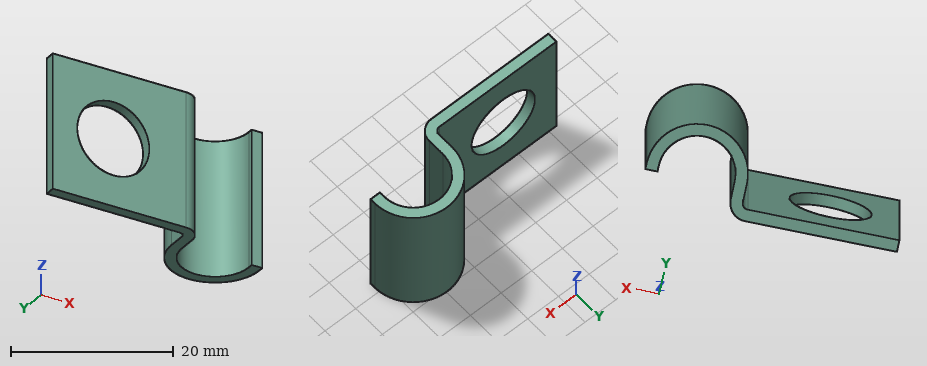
import cadquery as cq
import math

length = 32.45
depth = 11.05
height = 19.05
thickness = 1.53

hook_outer_radius = 6.3
hook_tip_y = 4.0
bend_inner_radius = 0.78
hole_diameter = 10.32
hole_x = 8.65

hook_inner_radius = hook_outer_radius - thickness
hook_x = length - hook_outer_radius
hook_y = depth - hook_outer_radius
neck_left = hook_x - hook_outer_radius
neck_right = neck_left + thickness
bend_outer_radius = bend_inner_radius + thickness
bend_x = neck_right - bend_outer_radius
bend_y = bend_outer_radius


def bend_midpoint(radius):
    """Point halfway round the quarter bend between plate and neck."""
    offset = radius * math.sqrt(0.5)
    return (bend_x + offset, bend_y - offset)


def make_strip():
    """Bent strip: flat plate, quarter bend, short neck and half-round hook."""
    return (
        cq.Workplane("XY")
        .lineTo(bend_x, 0)
        .threePointArc(bend_midpoint(bend_outer_radius), (neck_right, bend_y))
        .lineTo(neck_right, hook_y)
        .threePointArc((hook_x, hook_y + hook_inner_radius), (hook_x + hook_inner_radius, hook_y))
        .lineTo(hook_x + hook_inner_radius, hook_tip_y)
        .lineTo(length, hook_tip_y)
        .lineTo(length, hook_y)
        .threePointArc((hook_x, depth), (neck_left, hook_y))
        .lineTo(neck_left, bend_y)
        .threePointArc(bend_midpoint(bend_inner_radius), (bend_x, thickness))
        .lineTo(0, thickness)
        .close()
        .extrude(height)
    )


def make_hole():
    """Round screw hole through the flat plate, centred in its height."""
    return (
        cq.Workplane("XZ")
        .center(hole_x, height / 2)
        .circle(hole_diameter / 2)
        .extrude(-thickness)
    )


result = make_strip().cut(make_hole())